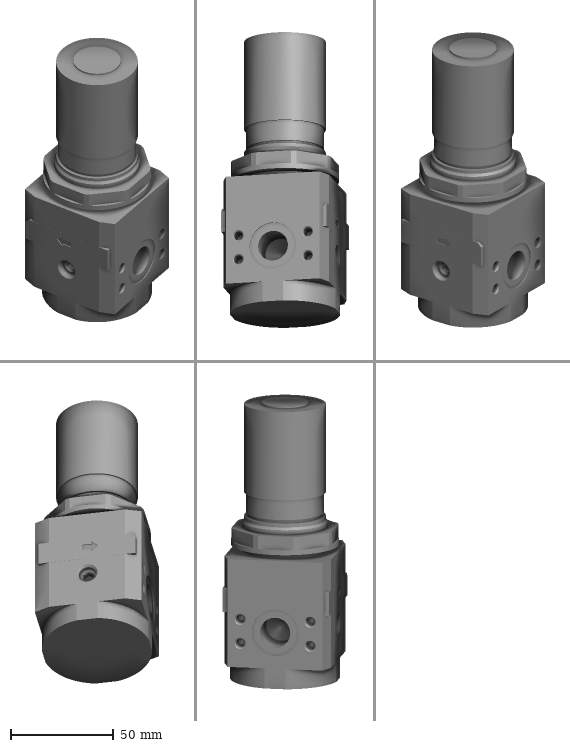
import cadquery as cq
import math

total_height = 138.0
width = 53.0
half_width = width / 2

front_face_width = 38.0
side_face_width = 47.0

foot_top = 10.1
housing_top = 52.0
bonnet_block_top = 64.0

foot_flat_width = 10.4
foot_radius = math.hypot(half_width, foot_flat_width / 2)

plate_width = 48.3
plate_bottom = 37.0
plate_height = 12.0
plate_corner_chamfer = 2.1
face_setback = 0.03
arrow_center_z = 43.9
arrow_tip_x = -5.7
arrow_tail_x = 2.5
arrow_head_length = 3.3
arrow_head_half_height = 2.9
arrow_shaft_half_height = 1.5
arrow_depth = 0.4

port_z = 28.0
port_diameter = 14.9
port_depth = 16.5
port_seat_diameter = 23.2
port_seat_depth = 0.5
drill_tip_angle = 118.0

mount_hole_diameter = 4.4
mount_hole_mouth_diameter = 5.5
mount_hole_depth = 8.3
mount_hole_spacing_y = 34.8
mount_hole_spacing_z = 12.0

gauge_mouth_diameter = 10.5
gauge_bore_diameter = 8.5
gauge_bore_depth = 3.0
socket_across_flats = 5.0
socket_depth = 3.5
socket_mouth_diameter = 6.3

neck_radius = 21.0
neck_top = 78.2
knob_radius = 20.0
cone_top = 79.5
ring_top = 81.3
groove_radius = 18.4
groove_top = 83.0
sleeve_radius = 19.2
sleeve_top = 93.0
knob_top = 137.2
button_radius = 11.6

nut_bottom = 66.9
nut_flange_top = 69.4
nut_top = 75.9
nut_across_flats = 50.0
nut_flat_count = 8


def beveled_block(bottom, top):
    """Square block with its four vertical corners cut by shallow bevels."""
    face_y = half_width - face_setback
    x_break = front_face_width / 2
    y_break = side_face_width / 2
    outline = [
        (-x_break, -face_y),
        (x_break, -face_y),
        (half_width, -y_break),
        (half_width, y_break),
        (x_break, face_y),
        (-x_break, face_y),
        (-half_width, y_break),
        (-half_width, -y_break),
    ]
    return cq.Workplane("XY", origin=(0, 0, bottom)).polyline(outline).close().extrude(top - bottom)


def disc(radius, bottom, top):
    return cq.Workplane("XY", origin=(0, 0, bottom)).circle(radius).extrude(top - bottom)


def revolve_about_z(profile):
    """Solid of revolution from (radius, height) points."""
    return cq.Workplane("XZ").polyline(profile).close().revolve(360, (0, 0, 0), (0, 1, 0))


def turned_cutter(profile, start, direction):
    """Round cutter from (radius, depth) points, entering at start along direction."""
    plane = cq.Plane(origin=(0, 0, 0), xDir=(1, 0, 0), normal=(0, -1, 0))
    cutter = cq.Workplane(plane).polyline(profile).close().revolve(360, (0, 0, 0), (0, 1, 0))
    placement = cq.Plane(origin=start, xDir=(0, 0, 1), normal=direction)
    return cutter.val().moved(cq.Location(placement))


def drill_tip_length(radius):
    return radius / math.tan(math.radians(drill_tip_angle / 2))


def label_plate():
    """Plate on the -Y face, with one beveled upper corner."""
    plate_depth = half_width - side_face_width / 2
    return (
        cq.Workplane("XY")
        .box(plate_width, plate_depth, plate_height, centered=(True, False, False))
        .translate((0, -half_width, plate_bottom))
        .edges("|Y and >Z and <X")
        .chamfer(plate_corner_chamfer)
    )


def arrow_cutter():
    """Flow arrow engraved in the -Y plate, pointing toward -X."""
    head_back_x = arrow_tip_x + arrow_head_length
    arrow_outline = [
        (arrow_tip_x, 0),
        (head_back_x, arrow_head_half_height),
        (head_back_x, arrow_shaft_half_height),
        (arrow_tail_x, arrow_shaft_half_height),
        (arrow_tail_x, -arrow_shaft_half_height),
        (head_back_x, -arrow_shaft_half_height),
        (head_back_x, -arrow_head_half_height),
    ]
    return (
        cq.Workplane("XZ", origin=(0, -half_width, arrow_center_z))
        .polyline(arrow_outline)
        .close()
        .extrude(-arrow_depth)
    )


def pipe_port_cutter(side):
    """Seat and drilled bore of the pipe port; side is -1 for -X and +1 for +X."""
    radius = port_diameter / 2
    profile = [
        (0, 0),
        (port_seat_diameter / 2, 0),
        (port_seat_diameter / 2, port_seat_depth),
        (radius, port_seat_depth),
        (radius, port_depth),
        (0, port_depth + drill_tip_length(radius)),
    ]
    return turned_cutter(profile, (side * half_width, 0, port_z), (-side, 0, 0))


def mount_hole_cutters(side):
    """Four countersunk blind holes around the pipe port."""
    radius = mount_hole_diameter / 2
    mouth_radius = mount_hole_mouth_diameter / 2
    profile = [
        (0, 0),
        (mouth_radius, 0),
        (radius, mouth_radius - radius),
        (radius, mount_hole_depth),
        (0, mount_hole_depth + drill_tip_length(radius)),
    ]
    cutters = []
    for y in (-mount_hole_spacing_y / 2, mount_hole_spacing_y / 2):
        for z in (port_z - mount_hole_spacing_z / 2, port_z + mount_hole_spacing_z / 2):
            cutters.append(turned_cutter(profile, (side * half_width, y, z), (-side, 0, 0)))
    return cutters


def gauge_port_cutter(side):
    """Chamfered gauge port down to the plug face, with the plug's countersunk hexagon socket."""
    face_y = half_width - face_setback
    mouth_radius = gauge_mouth_diameter / 2
    bore_radius = gauge_bore_diameter / 2
    socket_mouth_radius = socket_mouth_diameter / 2
    socket_radius = socket_across_flats / 2
    profile = [
        (0, 0),
        (mouth_radius, 0),
        (bore_radius, mouth_radius - bore_radius),
        (bore_radius, gauge_bore_depth),
        (socket_mouth_radius, gauge_bore_depth),
        (socket_radius, gauge_bore_depth + socket_mouth_radius - socket_radius),
        (0, gauge_bore_depth + socket_mouth_radius - socket_radius),
    ]
    bore = turned_cutter(profile, (0, side * face_y, port_z), (0, -side, 0))
    plug_face = cq.Plane(
        origin=(0, side * (face_y - gauge_bore_depth), port_z), xDir=(0, 0, 1), normal=(0, -side, 0)
    )
    across_corners = socket_across_flats / math.cos(math.pi / 6)
    socket = cq.Workplane(plug_face).polygon(6, across_corners).extrude(socket_depth)
    return socket.union(cq.Workplane(bore))


def make_housing():
    foot = disc(foot_radius, 0, foot_top).intersect(beveled_block(0, foot_top))
    plate = label_plate()
    arrow = arrow_cutter()
    body = beveled_block(foot_top, housing_top).union(foot)
    body = body.union(plate).union(plate.mirror("XZ"))
    body = body.cut(arrow).cut(arrow.mirror("XZ"))
    for side in (-1, 1):
        body = body.cut(cq.Workplane(pipe_port_cutter(side)))
        for cutter in mount_hole_cutters(side):
            body = body.cut(cq.Workplane(cutter))
        body = body.cut(gauge_port_cutter(side))
    return body


def make_bonnet():
    """Bonnet block with its round neck, adjusting knob and top button."""
    stem = revolve_about_z([
        (0, bonnet_block_top),
        (neck_radius, bonnet_block_top),
        (neck_radius, neck_top),
        (knob_radius, cone_top),
        (knob_radius, ring_top),
        (groove_radius, ring_top),
        (groove_radius, groove_top),
        (sleeve_radius, groove_top),
        (sleeve_radius, sleeve_top),
        (knob_radius, sleeve_top),
        (knob_radius, knob_top),
        (button_radius, knob_top),
        (button_radius, total_height),
        (0, total_height),
    ])
    return beveled_block(housing_top, bonnet_block_top).union(stem)


def make_nut():
    """Panel nut: round flange below a disc with eight flats, bored to fit the neck."""
    flange = disc(half_width, nut_bottom, nut_flange_top)
    across_corners = nut_across_flats / math.cos(math.pi / nut_flat_count)
    octagon = (
        cq.Workplane("XY", origin=(0, 0, nut_flange_top))
        .transformed(rotate=(0, 0, 180 / nut_flat_count))
        .polygon(nut_flat_count, across_corners)
        .extrude(nut_top - nut_flange_top)
    )
    wrench_part = octagon.intersect(disc(half_width, nut_flange_top, nut_top))
    return flange.union(wrench_part).cut(disc(neck_radius, nut_bottom, nut_top))


housing = make_housing()
bonnet = make_bonnet()
nut = make_nut()

result = cq.Compound.makeCompound([housing.val(), bonnet.val(), nut.val()])